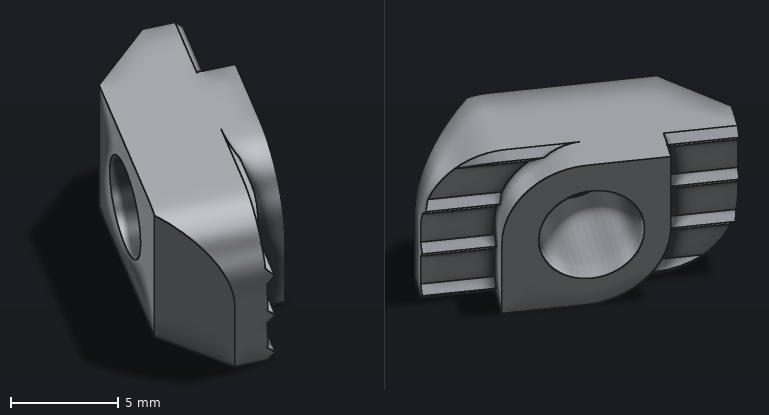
import cadquery as cq

LENGTH = 15.0
WIDTH = 8.0
THICKNESS = 6.5
FLANGE_THICKNESS = 4.6
FLANGE_CHAMFER = 3.0
NECK_LENGTH = 8.0
CORNER_RADIUS = WIDTH / 2

HOLE_DIAMETER = 5.0
HOLE_OFFSET_X = -0.25

TOOTH_HEIGHT = 0.4
TOOTH_WIDTH = 2 * TOOTH_HEIGHT
TOOTH_COUNT = 4
TOOTH_PITCH = (WIDTH - TOOTH_WIDTH) / (TOOTH_COUNT - 1)
OUTER_TOOTH_Z = (WIDTH - TOOTH_WIDTH) / 2


def twist_block(length, depth):
    """Block from Y = 0 to depth, rounded at its +X+Z and -X-Z edges so it can turn in the slot."""
    block = cq.Workplane("XY").box(length, depth, WIDTH, centered=(True, False, True))
    rounded_edges = block.edges("|Y and >X and >Z").add(block.edges("|Y and <X and <Z"))
    return rounded_edges.fillet(CORNER_RADIUS)


def chamfered_profile():
    """Full-width prism whose XY outline carries the two front chamfers."""
    half_length = LENGTH / 2
    front_half_length = half_length - FLANGE_CHAMFER
    return (
        cq.Workplane("XY", origin=(0, 0, -WIDTH / 2))
        .moveTo(-front_half_length, 0)
        .lineTo(front_half_length, 0)
        .lineTo(half_length, FLANGE_CHAMFER)
        .lineTo(half_length, THICKNESS)
        .lineTo(-half_length, THICKNESS)
        .lineTo(-half_length, FLANGE_CHAMFER)
        .close()
        .extrude(WIDTH)
    )


def tooth(center_z, start_x=-LENGTH / 2, end_x=LENGTH / 2):
    """Triangular gripping ridge along X on the back face of the flange."""
    return (
        cq.Workplane("YZ", origin=(start_x, 0, 0))
        .moveTo(FLANGE_THICKNESS, center_z - TOOTH_WIDTH / 2)
        .lineTo(FLANGE_THICKNESS + TOOTH_HEIGHT, center_z)
        .lineTo(FLANGE_THICKNESS, center_z + TOOTH_WIDTH / 2)
        .close()
        .extrude(end_x - start_x)
    )


def corner_cone():
    """Cone around the +X+Z corner axis that continues the outer slope of the top tooth."""
    axis_x = LENGTH / 2 - CORNER_RADIUS
    axis_z = WIDTH / 2 - CORNER_RADIUS
    base_center = cq.Vector(axis_x, FLANGE_THICKNESS, axis_z)
    tip_radius = CORNER_RADIUS - TOOTH_HEIGHT
    cone = cq.Solid.makeCone(CORNER_RADIUS, tip_radius, TOOTH_HEIGHT, base_center, cq.Vector(0, 1, 0))
    return cq.Workplane(cone)


def top_tooth():
    """Tooth along the top edge, with its outer slope carried round the corner as a cone."""
    arc_start_x = LENGTH / 2 - CORNER_RADIUS
    straight_part = tooth(OUTER_TOOTH_Z, end_x=arc_start_x)
    corner_part = tooth(OUTER_TOOTH_Z, start_x=arc_start_x).intersect(corner_cone())
    return straight_part.union(corner_part)


def toothed_flange():
    """Flange with its ridges, trimmed to the rounded and chamfered outline."""
    flange = cq.Workplane("XY").box(LENGTH, FLANGE_THICKNESS, WIDTH, centered=(True, False, True))
    for index in range(1, TOOTH_COUNT - 1):
        flange = flange.union(tooth(OUTER_TOOTH_Z - index * TOOTH_PITCH))
    flange = flange.intersect(twist_block(LENGTH, THICKNESS)).intersect(chamfered_profile())
    bottom_tooth = top_tooth().rotate((0, 0, 0), (0, 1, 0), 180)
    return flange.union(top_tooth()).union(bottom_tooth)


def through_hole():
    """Screw hole through the full thickness."""
    return (
        cq.Workplane("XZ", origin=(HOLE_OFFSET_X, 0, 0))
        .circle(HOLE_DIAMETER / 2)
        .extrude(-THICKNESS)
    )


neck = twist_block(NECK_LENGTH, THICKNESS)
result = toothed_flange().union(neck).cut(through_hole())